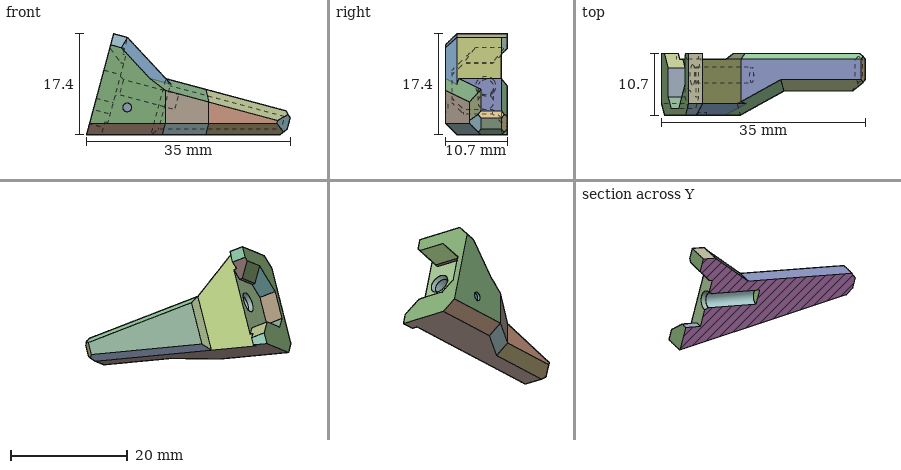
import cadquery as cq
import math

LENGTH = 35.0
WIDTH = 10.65
HEIGHT = 17.4
TILT = math.radians(15)
COS = math.cos(TILT)
SIN = math.sin(TILT)
BIG_BEVEL = 2.0
SMALL_BEVEL = 1.0
OVERRUN = 1.75
FAR = 105.0

FLANGE_DEPTH = 2.5
ARM_FALL = math.radians(47.1)
CORE_WIDTH = WIDTH - SMALL_BEVEL

TAIL_HEIGHT_AT_BACK = 12.88
TAIL_SIDE_Y = 4.13
SLANT_START_X = 13.55
SLANT_END_X = 21.0
RIB_START_X = 11.05

POCKET_DEPTH = 3.0
POCKET_SIDE_Y = 1.15
POCKET_CORNER = 2.0
POCKET_BOTTOM_U = 4.5
POCKET_TOP_U = 13.5
POCKET_FLARE_Y = 8.12
RELIEF_RISE = 2.0
RELIEF_DEPTH = 2.5

MAIN_DIAMETER = 2.7
MAIN_COUNTERSINK = 0.4
MAIN_COUNTERSINK_DEPTH = 0.7
MAIN_DEPTH = 10.5
MAIN_Y = 6.93
MAIN_U = 9.5
PIN_DIAMETER = 1.5
PIN_DEPTH = 0.5
PIN_X = 7.0
PIN_Z = 4.72

BACK = cq.Vector(-COS, 0, SIN)
TOP = cq.Vector(SIN, 0, COS)
TAIL_END = cq.Vector(COS, 0, -SIN)
ARM_SLOPE = cq.Vector(math.sin(ARM_FALL), 0, math.cos(ARM_FALL))
NEAR = cq.Vector(0, -1, 0)
REAR = cq.Vector(0, 1, 0)
BOTTOM = cq.Vector(0, 0, -1)
SLANT = cq.Vector(TAIL_SIDE_Y, SLANT_START_X - SLANT_END_X, 0).normalized()
SLANT_FOOT = cq.Vector(SLANT_START_X, 0, 0)


def tilted(u, depth):
    """X, Z of a place u up the back face and depth behind it."""
    return (u * SIN + depth * COS, u * COS - depth * SIN)


def point(xz, y=0.0):
    return cq.Vector(xz[0], y, xz[1])


def prism(outline, y_low, y_high):
    """Extrude an XZ outline between two Y places."""
    return cq.Workplane("XZ", origin=(0, y_low, 0)).polyline(outline).close().extrude(y_low - y_high)


def trim(body, origin, normal):
    """Remove all material on the side of a plane its normal points to."""
    return body.cut(cq.Workplane(cq.Plane(origin, normal=normal)).rect(FAR, FAR).extrude(FAR))


def bevel(body, edge_point, face_a, face_b, size):
    """Bevel the edge of two faces with equal legs, extended along its whole plane."""
    normal = face_a + face_b
    leg_reach = size * math.sin(face_a.getAngle(face_b))
    origin = edge_point - normal * (leg_reach / normal.dot(normal))
    return trim(body, origin, normal)


def trim_wall(body, foot, normal):
    """Cut along an upright wall and bevel its bottom edge."""
    return bevel(trim(body, foot, normal), foot, BOTTOM, normal, BIG_BEVEL)


def meet(p, normal_p, q, normal_q):
    """X, Z where two planes parallel to Y cross."""
    a = p.dot(normal_p)
    b = q.dot(normal_q)
    det = normal_p.x * normal_q.z - normal_p.z * normal_q.x
    return ((a * normal_q.z - b * normal_p.z) / det, (normal_p.x * b - normal_q.x * a) / det)


back_foot = (0.0, 0.0)
back_top_u = HEIGHT / COS
back_top = tilted(back_top_u, 0)
arm_crest = tilted(back_top_u, FLANGE_DEPTH)
tail_back = tilted(TAIL_HEIGHT_AT_BACK, 0)
tip_plane = cq.Vector(LENGTH + SMALL_BEVEL * SIN, 0, 0)
tail_tip = meet(point(tail_back), TOP, tip_plane, cq.Vector(1, 0, 0))
tail_foot = meet(point(tail_tip), TAIL_END, point(back_foot), BOTTOM)


def make_arm():
    arm_foot = meet(point(arm_crest), ARM_SLOPE, point(back_foot), BOTTOM)
    arm = prism([back_foot, back_top, arm_crest, arm_foot], 0, CORE_WIDTH)
    flange_foot = (FLANGE_DEPTH / COS, 0.0)
    arm = arm.union(prism([back_foot, back_top, arm_crest, flange_foot], 0, WIDTH))
    arm = bevel(arm, point(back_top), TOP, NEAR, BIG_BEVEL)
    arm = bevel(arm, point(arm_crest), ARM_SLOPE, NEAR, BIG_BEVEL)
    return trim_wall(arm, SLANT_FOOT, SLANT)


def make_tail():
    tail = prism([back_foot, tail_back, tail_tip, tail_foot], 0, WIDTH)
    slant_top = meet(point(tail_back), TOP, SLANT_FOOT, cq.Vector(1, 0, 0))
    slanted = trim_wall(bevel(tail, point(slant_top), TOP, SLANT, BIG_BEVEL), SLANT_FOOT, SLANT)
    straight_foot = cq.Vector(SLANT_END_X, TAIL_SIDE_Y, 0)
    straight = bevel(tail, point(tail_back, TAIL_SIDE_Y), TOP, NEAR, BIG_BEVEL)
    straight = trim_wall(straight, straight_foot, NEAR)
    tail = slanted.union(straight)
    tail = bevel(tail, point(tail_foot, TAIL_SIDE_Y), TAIL_END, NEAR, BIG_BEVEL)
    for corner, face in ((tail_tip, TOP), (tail_foot, BOTTOM)):
        tail = bevel(tail, point(corner), face, TAIL_END, SMALL_BEVEL)
        tail = bevel(tail, point(corner, WIDTH), face, REAR, SMALL_BEVEL)
    tail = bevel(tail, point(tail_foot, WIDTH), TAIL_END, REAR, SMALL_BEVEL)

    layer = prism([back_foot, tail_back, tail_tip, tail_foot], CORE_WIDTH, WIDTH)
    rib = bevel(layer, cq.Vector(RIB_START_X, WIDTH, 0), BACK, REAR, SMALL_BEVEL)
    return tail.cut(layer.cut(rib))


def back_plane(depth):
    return cq.Workplane(cq.Plane(point(tilted(0, depth)), xDir=(0, -1, 0), normal=BACK))


def back_prism(outline, depth):
    """Sink an outline of (Y, U) points into the back face."""
    start = back_plane(-OVERRUN).polyline([(-y, u) for y, u in outline]).close()
    return start.extrude(-depth - OVERRUN)


def make_pocket():
    flare = WIDTH + OVERRUN - POCKET_FLARE_Y
    octagon = [
        (WIDTH + OVERRUN, POCKET_BOTTOM_U - flare),
        (POCKET_FLARE_Y, POCKET_BOTTOM_U),
        (POCKET_SIDE_Y + POCKET_CORNER, POCKET_BOTTOM_U),
        (POCKET_SIDE_Y, POCKET_BOTTOM_U + POCKET_CORNER),
        (POCKET_SIDE_Y, POCKET_TOP_U - POCKET_CORNER),
        (POCKET_SIDE_Y + POCKET_CORNER, POCKET_TOP_U),
        (POCKET_FLARE_Y, POCKET_TOP_U),
        (WIDTH + OVERRUN, POCKET_TOP_U + flare),
    ]
    pocket = back_prism(octagon, POCKET_DEPTH)

    relief_start_y = POCKET_SIDE_Y + POCKET_CORNER
    relief_top = POCKET_TOP_U + RELIEF_RISE
    slab = back_prism(
        [
            (relief_start_y, POCKET_TOP_U),
            (relief_start_y + RELIEF_RISE, relief_top),
            (POCKET_FLARE_Y + RELIEF_RISE, relief_top),
            (POCKET_FLARE_Y, POCKET_TOP_U),
        ],
        RELIEF_DEPTH,
    )
    wedge = prism(
        [tilted(POCKET_TOP_U, 0), tilted(relief_top, 0), tilted(POCKET_TOP_U, RELIEF_DEPTH)], 0, WIDTH
    )
    return pocket.union(slab.intersect(wedge))


def make_main_hole():
    floor = back_plane(POCKET_DEPTH).center(-MAIN_Y, MAIN_U)
    radius = MAIN_DIAMETER / 2
    hole = floor.circle(radius).extrude(-MAIN_DEPTH)
    mouth = cq.Solid.makeCone(
        radius + MAIN_COUNTERSINK, radius, MAIN_COUNTERSINK_DEPTH,
        point(tilted(MAIN_U, POCKET_DEPTH), MAIN_Y), TAIL_END,
    )
    return hole.union(cq.Workplane(mouth))


def make_pin_hole():
    return cq.Workplane("XZ").center(PIN_X, PIN_Z).circle(PIN_DIAMETER / 2).extrude(-PIN_DEPTH)


result = make_arm().union(make_tail())
result = bevel(result, point(back_foot), BOTTOM, NEAR, BIG_BEVEL)
for cutter in (make_pocket(), make_main_hole(), make_pin_hole()):
    result = result.cut(cutter)